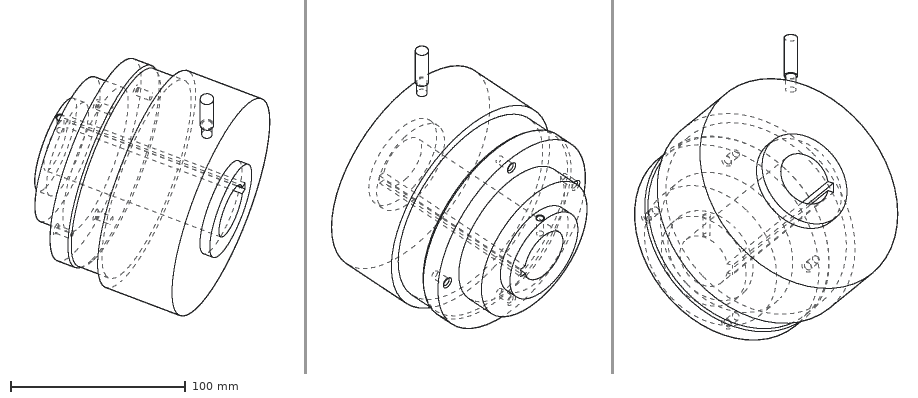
import cadquery as cq

hub_radius = 57.2 / 2
hub_length = 7.5
collar_radius = 89.0 / 2
collar_length = 17.8
flange_radius = 124.2 / 2
flange_length = 11.4
neck_radius = 121.7 / 2
taper_length = 1.5
neck_length = 19.5
drum_radius = 133.3 / 2
drum_length = 47.1
rear_hub_length = 6.2

collar_start = hub_length
flange_start = collar_start + collar_length
taper_start = flange_start + flange_length
neck_start = taper_start + taper_length
drum_start = neck_start + neck_length
rear_hub_start = drum_start + drum_length
total_length = rear_hub_start + rear_hub_length

bore_radius = 32.0 / 2
keyway_width = 6.0
keyway_reach = 19.5

hole_count = 4
hole_diameter = 4.7
countersink_diameter = 6.7
hole_depth = 10.0
hole_circle_radius = 54.0

set_screw_diameter = 4.0
set_screw_mouth_diameter = 5.0
set_screw_x = 3.0

lever_x = 95.9
overall_height = 167.6
lever_top = overall_height - drum_radius
grip_diameter = 7.7
grip_length = 25.3
stem_diameter = 6.0
stem_embed = 3.4


def make_body():
    profile = [
        (0, 0),
        (0, hub_radius),
        (collar_start, hub_radius),
        (collar_start, collar_radius),
        (flange_start, collar_radius),
        (flange_start, flange_radius),
        (taper_start, flange_radius),
        (neck_start, neck_radius),
        (drum_start, neck_radius),
        (drum_start, drum_radius),
        (rear_hub_start, drum_radius),
        (rear_hub_start, hub_radius),
        (total_length, hub_radius),
        (total_length, 0),
    ]
    return cq.Workplane("XY").polyline(profile).close().revolve(360, (0, 0, 0), (1, 0, 0))


def make_lever():
    grip_bottom = lever_top - grip_length
    stem_bottom = drum_radius - stem_embed
    stem = (
        cq.Workplane("XY", origin=(lever_x, 0, stem_bottom))
        .circle(stem_diameter / 2)
        .extrude(grip_bottom - stem_bottom)
    )
    grip = (
        cq.Workplane("XY", origin=(lever_x, 0, grip_bottom))
        .circle(grip_diameter / 2)
        .extrude(grip_length)
    )
    return stem.union(grip)


def make_keyed_bore():
    bore = cq.Workplane("YZ").circle(bore_radius).extrude(total_length)
    keyway = cq.Workplane("XY").box(
        total_length, keyway_reach, keyway_width, centered=(False, False, True)
    )
    return bore.union(keyway)


def make_countersunk_hole(diameter, mouth_diameter, depth):
    """Hole cutter along +X from the origin, with a 45 degree countersink at its mouth."""
    radius = diameter / 2
    mouth_radius = mouth_diameter / 2
    countersink_depth = mouth_radius - radius
    profile = [
        (0, 0),
        (0, mouth_radius),
        (countersink_depth, radius),
        (depth, radius),
        (depth, 0),
    ]
    return cq.Workplane("XY").polyline(profile).close().revolve(360, (0, 0, 0), (1, 0, 0))


def make_flange_holes():
    hole = make_countersunk_hole(hole_diameter, countersink_diameter, hole_depth)
    hole = hole.translate((flange_start, 0, hole_circle_radius))
    holes = cq.Workplane("XY")
    for index in range(hole_count):
        angle = index * 360 / hole_count
        holes = holes.add(hole.rotate((0, 0, 0), (1, 0, 0), angle))
    return holes.combine()


def make_set_screw_hole():
    hole = make_countersunk_hole(set_screw_diameter, set_screw_mouth_diameter, hub_radius)
    pointing_down = hole.rotate((0, 0, 0), (0, 1, 0), 90)
    return pointing_down.translate((set_screw_x, 0, hub_radius))


result = (
    make_body()
    .union(make_lever())
    .cut(make_keyed_bore())
    .cut(make_flange_holes())
    .cut(make_set_screw_hole())
)